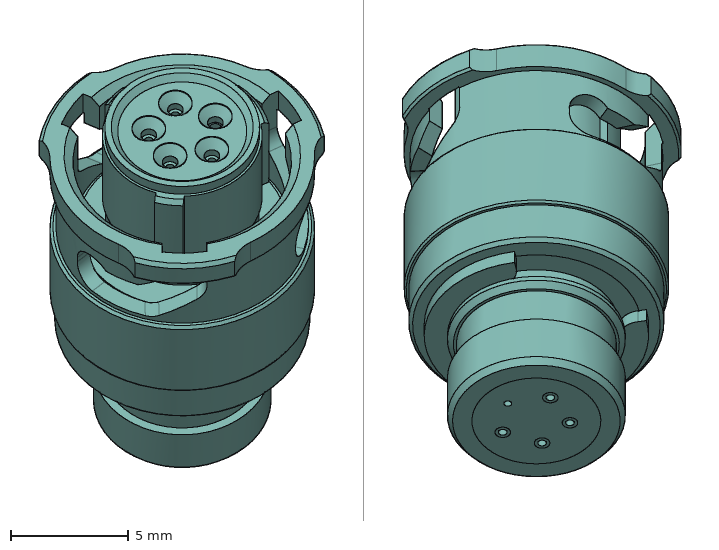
import cadquery as cq
import math


top_z = 18.3
clip_bottom = 4.87
ring_bottom = 5.49
ring_step_top = 7.58
barrel_top = 11.73
nose_step_z = 13.72
key_top = 17.79
flange_bottom = 15.19
flange_top = 16.43

nose_top_radius = 3.3
nose_radius = 3.4
nose_root_radius = 3.28
shell_body_radius = 4.47
bore_radius = 2.75
bore_chamfer = 0.27
key_radius = 3.77
key_chamfer = 0.2
key_width = 1.23
key_angles_and_widths = [(90, 2 * key_width), (200.5, key_width), (320, key_width)]
tail_radius = 3.79
tail_shoulder_bottom = 4.65
tail_shoulder_chamfer = 0.25
tail_groove_radius = 3.4
tail_groove_bottom = 2.43
tail_chamfer_width = 0.22
tail_chamfer_height = 0.3

clip_radius = 4.78
clip_groove_radius = 3.51
clip_gap_start = 126.2
clip_gap_end = 215.9
clip_corner_radius = 1.0

insert_top = top_z - bore_chamfer
contact_radius = 0.33
contact_hole_radius = 0.18
funnel_radius = 0.71
funnel_land = 0.05
funnel_depth = 0.44
funnel_bottom = insert_top - funnel_depth
contact_recess = 0.37
contact_top = funnel_bottom - contact_recess
contact_places = [(1.5, 0.57), (0.88, -1.13), (-0.88, -1.13), (-1.5, 0.57)]
empty_cavity_place = (0, 1.65)
empty_cavity_step_radius = 0.25
empty_cavity_step_depth = 0.37
empty_cavity_hole_radius = 0.16

lug_count = 3
first_lug_angle = 90
lug_pitch = 360 / lug_count
ring_bore = 4.65
ring_seat_top = 11.53
ring_mouth_radius = 5.03
ring_mouth_depth = ring_mouth_radius - ring_bore
sleeve_radius = 5.38
barrel_radius = 5.64
barrel_chamfer = 0.13
ring_base_radius = 5.44
ring_base_chamfer = 0.16
barrel_bottom_chamfer = 0.1
flange_radius = 5.64
lug_radius = 6.17
lug_half_angle = 20.1
lug_foot_angle = 30.0
lug_top_chamfer = 0.16
lug_bottom_chamfer = 0.11

slot_outer_radius = 5.44
channel_half_width = 0.95
slot_floor = 11.95
slot_neck_top = 13.87
slot_lobe_top = 14.24
slot_round = 1.0
slot_lobe_turn = 46.5
slot_run_end_turn = 21.2
mouth_left = -1.98
mouth_top = 14.55
ramp_foot = -1.35
ramp_top = 13.58


def polar(radius, angle):
    """Point in the XY plane at a radius and an angle in degrees."""
    turn = math.radians(angle)
    return (radius * math.cos(turn), radius * math.sin(turn))


def disc(radius, bottom, top):
    return cq.Workplane("XY").workplane(offset=bottom).circle(radius).extrude(top - bottom)


def revolved(profile, angle=360):
    """Solid turned around Z from a closed profile of (radius, z) points."""
    return cq.Workplane("XZ").polyline(profile).close().revolve(angle, (0, 0, 0), (0, 1, 0))


def facing(angle):
    """Upright plane through the axis whose normal points outward at an angle; local Y is Z."""
    turn = math.radians(angle)
    return cq.Workplane(
        cq.Plane(
            origin=(0, 0, 0),
            xDir=(-math.sin(turn), math.cos(turn), 0),
            normal=(math.cos(turn), math.sin(turn), 0),
        )
    )


def make_key(angle, width):
    """Polarising key on the nose, bevelled at its upper outer edge."""
    blank = revolved([
        (nose_root_radius, nose_step_z),
        (key_radius, nose_step_z),
        (key_radius, key_top - key_chamfer),
        (key_radius - key_chamfer, key_top),
        (nose_root_radius, key_top),
    ])
    height = key_top - nose_step_z
    bar = facing(angle).center(0, nose_step_z + height / 2).rect(width, height).extrude(key_radius)
    return blank.intersect(bar)


def make_clip():
    """Open retaining ring in the shell groove, with the inner corners of its gap rounded."""
    height = ring_bottom - clip_bottom
    middle = (clip_gap_start + clip_gap_end) / 2
    gap = (
        cq.Workplane("XY")
        .workplane(offset=clip_bottom)
        .polyline([
            (0, 0),
            polar(2 * clip_radius, clip_gap_start),
            polar(2 * clip_radius, middle),
            polar(2 * clip_radius, clip_gap_end),
        ])
        .close()
        .extrude(height)
    )
    clip = disc(clip_radius, clip_bottom, ring_bottom).cut(disc(clip_groove_radius, clip_bottom, ring_bottom))
    clip = clip.cut(gap)
    for angle in (clip_gap_start, clip_gap_end):
        corner = (*polar(clip_groove_radius, angle), clip_bottom + height / 2)
        clip = clip.edges(cq.selectors.NearestToPointSelector(corner)).fillet(clip_corner_radius)
    return clip


def make_shell():
    shell = revolved([
        (0, 0),
        (tail_radius - tail_chamfer_width, 0),
        (tail_radius, tail_chamfer_height),
        (tail_radius, tail_groove_bottom),
        (tail_groove_radius, tail_groove_bottom),
        (tail_groove_radius, tail_shoulder_bottom - tail_shoulder_chamfer),
        (tail_radius - tail_shoulder_chamfer, tail_shoulder_bottom - tail_shoulder_chamfer),
        (tail_radius, tail_shoulder_bottom),
        (tail_radius, clip_bottom),
        (clip_groove_radius, clip_bottom),
        (clip_groove_radius, ring_bottom),
        (shell_body_radius, ring_bottom),
        (shell_body_radius, barrel_top),
        (nose_root_radius, barrel_top),
        (nose_root_radius, nose_step_z),
        (nose_radius, nose_step_z),
        (nose_radius, key_top),
        (nose_top_radius, key_top),
        (nose_top_radius, top_z),
        (0, top_z),
    ])
    for angle, width in key_angles_and_widths:
        shell = shell.union(make_key(angle, width))
    bore = revolved([
        (0, 0),
        (bore_radius, 0),
        (bore_radius, insert_top),
        (bore_radius + bore_chamfer, top_z),
        (0, top_z),
    ])
    return shell.cut(bore)


def make_insert():
    """Insulator filling the bore, with four contact holes and one empty stepped cavity."""
    funnel = [
        (contact_radius, funnel_bottom),
        (funnel_radius, insert_top - funnel_land),
        (funnel_radius, insert_top),
        (0, insert_top),
    ]
    contact_hole = revolved([(0, 0), (contact_radius, 0), *funnel])
    step_bottom = contact_top - empty_cavity_step_depth
    empty_cavity = revolved([
        (0, 0),
        (empty_cavity_hole_radius, 0),
        (empty_cavity_hole_radius, step_bottom),
        (empty_cavity_step_radius, step_bottom),
        (empty_cavity_step_radius, contact_top),
        (contact_radius, contact_top),
        *funnel,
    ])
    insert = disc(bore_radius, 0, insert_top)
    for x, y in contact_places:
        insert = insert.cut(contact_hole.translate((x, y, 0)))
    return insert.cut(empty_cavity.translate((*empty_cavity_place, 0)))


def make_contact(x, y):
    tube = cq.Workplane("XY").circle(contact_radius).circle(contact_hole_radius).extrude(contact_top)
    return tube.translate((x, y, 0))


def make_flange():
    """Ring flange with three lugs, each blended into the rim by hollow arcs."""
    lug_corner = polar(lug_radius, lug_half_angle)
    foot_cos = math.cos(math.radians(lug_foot_angle - lug_half_angle))
    blend_radius = (lug_radius**2 + flange_radius**2 - 2 * lug_radius * flange_radius * foot_cos) / (
        2 * (lug_radius * foot_cos - flange_radius)
    )
    blend_center = polar(flange_radius + blend_radius, lug_foot_angle)
    foot = polar(flange_radius, lug_foot_angle)
    chord_x = (lug_corner[0] + foot[0]) / 2 - blend_center[0]
    chord_y = (lug_corner[1] + foot[1]) / 2 - blend_center[1]
    blend_angle = math.degrees(math.atan2(chord_y, chord_x))
    blend_offset = polar(blend_radius, blend_angle)
    blend_middle = (blend_center[0] + blend_offset[0], blend_center[1] + blend_offset[1])
    middle_radius = math.hypot(*blend_middle)
    middle_angle = math.degrees(math.atan2(blend_middle[1], blend_middle[0]))

    outline = cq.Workplane("XY").workplane(offset=flange_bottom)
    outline = outline.moveTo(*polar(lug_radius, first_lug_angle - lug_half_angle))
    for index in range(lug_count):
        angle = first_lug_angle + index * lug_pitch
        next_angle = angle + lug_pitch
        outline = (
            outline.threePointArc(polar(lug_radius, angle), polar(lug_radius, angle + lug_half_angle))
            .threePointArc(
                polar(middle_radius, angle + middle_angle),
                polar(flange_radius, angle + lug_foot_angle),
            )
            .threePointArc(
                polar(flange_radius, angle + lug_pitch / 2),
                polar(flange_radius, next_angle - lug_foot_angle),
            )
            .threePointArc(
                polar(middle_radius, next_angle - middle_angle),
                polar(lug_radius, next_angle - lug_half_angle),
            )
        )
    flange = outline.close().extrude(flange_top - flange_bottom)
    bevelled_blank = revolved([
        (0, flange_bottom),
        (lug_radius - lug_bottom_chamfer, flange_bottom),
        (lug_radius, flange_bottom + lug_bottom_chamfer),
        (lug_radius, flange_top - lug_top_chamfer),
        (lug_radius - lug_top_chamfer, flange_top),
        (0, flange_top),
    ])
    return flange.intersect(bevelled_blank)


def make_slot(angle):
    """J-shaped bayonet slot: entry channel with a ramp, level run and a round end lobe."""
    entry = (
        facing(angle)
        .moveTo(mouth_left, slot_floor)
        .lineTo(ramp_foot, slot_floor)
        .lineTo(channel_half_width, ramp_top)
        .lineTo(channel_half_width, top_z)
        .lineTo(-channel_half_width, top_z)
        .lineTo(-channel_half_width, mouth_top)
        .lineTo(mouth_left, slot_neck_top)
        .close()
        .extrude(lug_radius)
    )
    plane = facing(angle).plane
    for across, height in [(ramp_foot, slot_floor), (channel_half_width, ramp_top)]:
        corner = plane.toWorldCoords((across, height, lug_radius / 2))
        edge = entry.edges(cq.selectors.NearestToPointSelector(corner.toTuple()))
        entry = edge.fillet(slot_round)

    run_turn = slot_lobe_turn - slot_run_end_turn
    run = revolved(
        [
            (nose_radius, slot_floor),
            (slot_outer_radius, slot_floor),
            (slot_outer_radius, slot_neck_top),
            (nose_radius, slot_neck_top),
        ],
        run_turn,
    ).rotate((0, 0, 0), (0, 0, 1), angle - slot_lobe_turn)

    lobe_height = slot_lobe_top - slot_floor
    lobe = (
        facing(angle - slot_lobe_turn)
        .center(0, slot_floor + lobe_height / 2)
        .slot2D(lobe_height, 2 * slot_round, 90)
        .extrude(lug_radius)
    )
    slot = entry.union(run).union(lobe)
    return slot.intersect(disc(slot_outer_radius, 0, top_z)).cut(disc(nose_radius, 0, top_z))


def make_coupling_ring():
    ring = revolved([
        (0, ring_bottom),
        (ring_base_radius - ring_base_chamfer, ring_bottom),
        (ring_base_radius, ring_bottom + ring_base_chamfer),
        (ring_base_radius, ring_step_top - barrel_bottom_chamfer),
        (barrel_radius - barrel_bottom_chamfer, ring_step_top - barrel_bottom_chamfer),
        (barrel_radius, ring_step_top),
        (barrel_radius, barrel_top - barrel_chamfer),
        (barrel_radius - barrel_chamfer, barrel_top),
        (sleeve_radius, barrel_top),
        (sleeve_radius, flange_top),
        (0, flange_top),
    ])
    ring = ring.union(make_flange())
    opening = revolved([
        (0, ring_bottom),
        (shell_body_radius, ring_bottom),
        (shell_body_radius, ring_seat_top),
        (ring_bore, ring_seat_top),
        (ring_bore, flange_top - ring_mouth_depth),
        (ring_mouth_radius, flange_top),
        (0, flange_top),
    ])
    ring = ring.cut(opening)
    slot = make_slot(first_lug_angle)
    for index in range(lug_count):
        ring = ring.cut(slot.rotate((0, 0, 0), (0, 0, 1), index * lug_pitch))
    return ring


shell = make_shell()
insert = make_insert()
clip = make_clip()
contacts = [make_contact(x, y) for x, y in contact_places]
coupling_ring = make_coupling_ring()

result = cq.Compound.makeCompound(
    [
        shell.val(),
        insert.val(),
        clip.val(),
        coupling_ring.val(),
        *[contact.val() for contact in contacts],
    ]
)